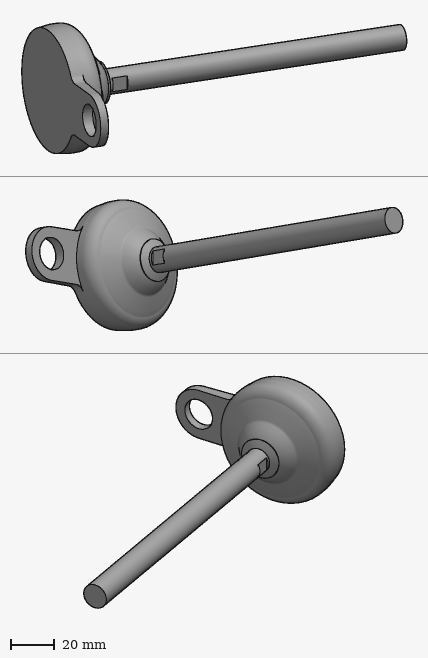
import cadquery as cq
import math


base_radius = 30.0
sole_radius = 29.2
taper_height = 6.0
shoulder_start = 9.4
shoulder_radius = 6.5
shoulder_end = 15.7
rim_radius = 16.3
rim_height = 20.0
flank_sag = 0.3

dome_radius = 18.7
dome_centre_height = 10.0
dome_foot_height = 20.9

lug_width = 25.0
lug_reach = 58.0
lug_tip_thickness = 4.0
lug_slope = 3.0
lug_root = 20.0
lug_hole_diameter = 15.0
lug_neck_fillet = 5.0
neck_search_margin = 2.0

overall_height = 178.0
rod_diameter = 12.0
width_across_flats = 10.0
flat_start = 30.0
flat_end = 37.5
cap_thickness = 0.9
cap_radius = 9.9

lug_end_radius = lug_width / 2
lug_centre = lug_reach - lug_end_radius
lug_root_thickness = lug_tip_thickness + (lug_reach - lug_root) * math.tan(math.radians(lug_slope))
rod_radius = rod_diameter / 2
cap_outer_radius = dome_radius + cap_thickness
cap_edge_angle = math.asin(cap_radius / cap_outer_radius)
dome_foot_angle = math.acos((dome_foot_height - dome_centre_height) / dome_radius)


def sphere_point(radius, angle_from_axis):
    """Point in the XY plane on a sphere that shares the dome centre."""
    return (
        radius * math.sin(angle_from_axis),
        dome_centre_height + radius * math.cos(angle_from_axis),
    )


def make_round_base():
    shoulder_angle = math.asin((shoulder_end - shoulder_start) / shoulder_radius)
    shoulder_centre = base_radius - shoulder_radius

    def shoulder_point(angle):
        return (
            shoulder_centre + shoulder_radius * math.cos(angle),
            shoulder_start + shoulder_radius * math.sin(angle),
        )

    profile = (
        cq.Workplane("XY")
        .lineTo(*sphere_point(dome_radius, 0))
        .threePointArc(
            sphere_point(dome_radius, dome_foot_angle / 2),
            sphere_point(dome_radius, dome_foot_angle),
        )
        .tangentArcPoint((rim_radius, rim_height), relative=False)
        .sagittaArc(shoulder_point(shoulder_angle), flank_sag)
        .threePointArc(shoulder_point(shoulder_angle / 2), shoulder_point(0))
        .lineTo(base_radius, taper_height)
        .lineTo(sole_radius, 0)
        .close()
    )
    return profile.revolve(360, (0, 0), (0, 1))


def make_lug():
    wedge = (
        cq.Workplane("XY")
        .moveTo(lug_root, 0)
        .lineTo(lug_reach, 0)
        .lineTo(lug_reach, lug_tip_thickness)
        .lineTo(lug_root, lug_root_thickness)
        .close()
        .extrude(lug_width / 2, both=True)
    )
    outline = (
        cq.Workplane("XZ")
        .moveTo(lug_root, -lug_end_radius)
        .lineTo(lug_centre, -lug_end_radius)
        .threePointArc((lug_reach, 0), (lug_centre, lug_end_radius))
        .lineTo(lug_root, lug_end_radius)
        .close()
        .extrude(-lug_root_thickness)
    )
    return wedge.intersect(outline)


def make_base():
    body = make_round_base().union(make_lug())
    neck_x = math.sqrt(base_radius**2 - lug_end_radius**2)
    neck_edges = cq.selectors.BoxSelector(
        (neck_x - neck_search_margin, neck_search_margin, -lug_width),
        (neck_x + neck_search_margin, lug_root_thickness - neck_search_margin, lug_width),
    )
    body = body.edges(neck_edges).fillet(lug_neck_fillet)
    hole = (
        cq.Workplane("XZ")
        .center(lug_centre, 0)
        .circle(lug_hole_diameter / 2)
        .extrude(-lug_root_thickness)
    )
    return body.cut(hole)


def make_stud():
    rod_foot_angle = math.asin(rod_radius / cap_outer_radius)
    profile = (
        cq.Workplane("XY")
        .moveTo(*sphere_point(dome_radius, 0))
        .threePointArc(
            sphere_point(dome_radius, cap_edge_angle / 2),
            sphere_point(dome_radius, cap_edge_angle),
        )
        .lineTo(*sphere_point(cap_outer_radius, cap_edge_angle))
        .threePointArc(
            sphere_point(cap_outer_radius, (cap_edge_angle + rod_foot_angle) / 2),
            sphere_point(cap_outer_radius, rod_foot_angle),
        )
        .lineTo(rod_radius, overall_height)
        .lineTo(0, overall_height)
        .close()
    )
    stud = profile.revolve(360, (0, 0), (0, 1))

    flat_length = flat_end - flat_start
    for side in (-1, 1):
        cutter_centre = (
            side * (width_across_flats + rod_diameter) / 2,
            flat_start + flat_length / 2,
            0,
        )
        cutter = cq.Workplane("XY").box(rod_diameter, flat_length, rod_diameter).translate(cutter_centre)
        stud = stud.cut(cutter)
    return stud


base = make_base()
stud = make_stud()
result = cq.Compound.makeCompound([base.val(), stud.val()])